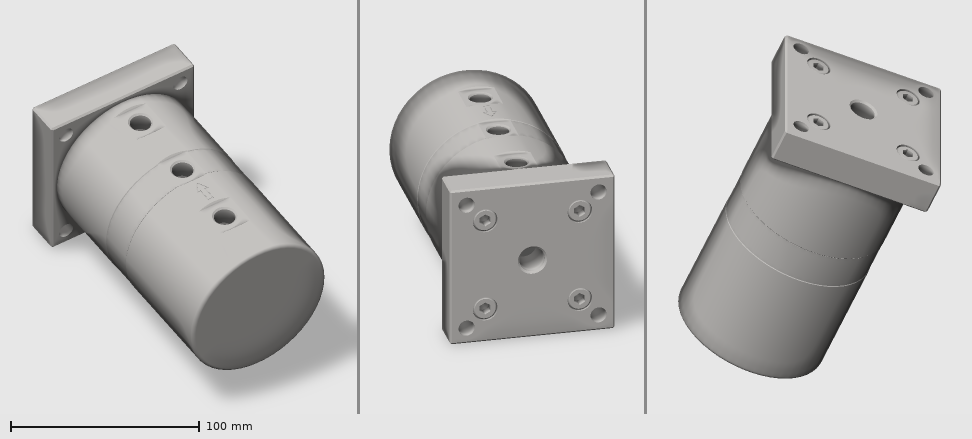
import cadquery as cq
import math

plate_side = 90.0
plate_thickness = 20.0
plate_chamfer = 1.0

total_length = 154.0
body_radius = 42.0
end_fillet = 2.0
section_edge_chamfer = 0.4

ring_width = 19.0
ring_radius = 41.75

port_pitch = 41.5
middle_port_x = 78.5
port_bore_diameter = 11.45
port_mouth_diameter = 13.4
port_flat_length = 20.0
port_flat_height = 40.8
flat_overcut = 1.0
core_radius = 30.0

socket_diameter = 13.84
socket_mouth_diameter = 16.0
socket_depth = plate_thickness

mount_hole_diameter = 8.8
mount_hole_offset = 36.0

screw_offset = 25.8
screw_head_diameter = 13.0
screw_head_height = 8.0
screw_head_chamfer = 0.8
screw_head_recess = 0.4
counterbore_diameter = 13.4
counterbore_depth = screw_head_recess + screw_head_height
hex_across_flats = 6.0
hex_depth = 5.0
hex_tip_angle = 120.0

arrow_tip_x = 92.1
arrow_head_length = 6.6
arrow_length = 14.4
arrow_head_half_width = 3.9
arrow_shaft_half_width = 1.8
arrow_stroke = 0.6
arrow_depth = 0.2

port_positions = [middle_port_x + step * port_pitch for step in (-1, 0, 1)]


def corner_points(offset):
    """Four (Y, Z) points at the corners of a centred square."""
    return [(y, z) for y in (-offset, offset) for z in (-offset, offset)]


def x_cylinder(radius, start, end):
    """Cylinder on the X axis between two X positions."""
    return cq.Workplane("YZ", origin=(start, 0, 0)).circle(radius).extrude(end - start)


def make_plate():
    plate = cq.Workplane("YZ").rect(plate_side, plate_side).extrude(plate_thickness)
    return plate.edges().chamfer(plate_chamfer)


def make_body():
    """Two body sections with the narrower ring between them."""
    ring_start = middle_port_x - ring_width / 2
    ring_end = middle_port_x + ring_width / 2
    front = x_cylinder(body_radius, plate_thickness, ring_start)
    front = front.edges("%CIRCLE").chamfer(section_edge_chamfer)
    rear = x_cylinder(body_radius, ring_end, total_length)
    rear = rear.faces("<X").edges().chamfer(section_edge_chamfer)
    rear = rear.faces(">X").edges().fillet(end_fillet)
    ring = x_cylinder(ring_radius, ring_start, ring_end)
    return front.union(ring).union(rear)


def cone_mouth(bore_diameter, mouth_diameter):
    """45 degree countersink opening at X = 0 and narrowing toward +X."""
    depth = (mouth_diameter - bore_diameter) / 2
    cone = cq.Solid.makeCone(
        mouth_diameter / 2, bore_diameter / 2, depth, cq.Vector(0, 0, 0), cq.Vector(1, 0, 0)
    )
    return cq.Workplane(cone)


def port_cutter(x):
    """Flat with 45 degree ends, countersunk mouth and bore down to the core."""
    half_floor = port_flat_length / 2
    rise = body_radius - port_flat_height + flat_overcut
    half_top = half_floor + rise
    flat = (
        cq.Workplane("XZ", origin=(x, 0, port_flat_height))
        .polyline([(-half_floor, 0), (half_floor, 0), (half_top, rise), (-half_top, rise)])
        .close()
        .extrude(body_radius, both=True)
    )
    bore = (
        cq.Workplane("XY", origin=(x, 0, 0))
        .circle(port_bore_diameter / 2)
        .extrude(port_flat_height)
    )
    core = x_cylinder(core_radius, x - port_flat_length, x + port_flat_length)
    mouth = cone_mouth(port_bore_diameter, port_mouth_diameter)
    mouth = mouth.rotate((0, 0, 0), (0, 1, 0), 90).translate((x, 0, port_flat_height))
    return flat.union(bore.cut(core)).union(mouth)


def make_socket():
    bore = x_cylinder(socket_diameter / 2, 0, socket_depth)
    return bore.union(cone_mouth(socket_diameter, socket_mouth_diameter))


def corner_bores(offset, diameter, depth):
    """Four bores running from the flange face toward +X."""
    return (
        cq.Workplane("YZ")
        .pushPoints(corner_points(offset))
        .circle(diameter / 2)
        .extrude(depth)
    )


def make_screw_head():
    """Chamfered head with a hexagon socket that ends in a drilled cone."""
    across_corners = hex_across_flats / math.cos(math.pi / 6)
    tip_radius = hex_across_flats / 2
    tip_depth = tip_radius / math.tan(math.radians(hex_tip_angle / 2))
    head = x_cylinder(screw_head_diameter / 2, 0, screw_head_height)
    head = head.faces("<X").edges().chamfer(screw_head_chamfer)
    hexagon = (
        cq.Workplane("YZ")
        .transformed(rotate=(0, 0, 90))
        .polygon(6, across_corners)
        .extrude(hex_depth)
    )
    tip = cq.Solid.makeCone(
        tip_radius, 0, tip_depth, cq.Vector(hex_depth, 0, 0), cq.Vector(1, 0, 0)
    )
    return head.cut(hexagon).cut(cq.Workplane(tip))


def arrow_cutter():
    """Arrow outline limited to a thin shell below the body surface."""
    neck_x = arrow_tip_x + arrow_head_length
    tail_x = arrow_tip_x + arrow_length
    outline = [
        (arrow_tip_x, 0),
        (neck_x, arrow_head_half_width),
        (neck_x, arrow_shaft_half_width),
        (tail_x, arrow_shaft_half_width),
        (tail_x, -arrow_shaft_half_width),
        (neck_x, -arrow_shaft_half_width),
        (neck_x, -arrow_head_half_width),
    ]
    prism = cq.Workplane("XY").polyline(outline).close().extrude(body_radius)
    inside = (
        cq.Workplane("XY")
        .polyline(outline)
        .close()
        .offset2D(-arrow_stroke, "intersection")
        .extrude(body_radius)
    )
    prism = prism.cut(inside)
    return prism.cut(x_cylinder(body_radius - arrow_depth, 0, total_length))


result = make_plate().union(make_body())

for port_x in port_positions:
    result = result.cut(port_cutter(port_x))

result = result.cut(make_socket())

result = result.cut(corner_bores(mount_hole_offset, mount_hole_diameter, plate_thickness))

result = result.cut(corner_bores(screw_offset, counterbore_diameter, counterbore_depth))
screw_head = make_screw_head()
for y, z in corner_points(screw_offset):
    result = result.union(screw_head.translate((screw_head_recess, y, z)))

result = result.cut(arrow_cutter())